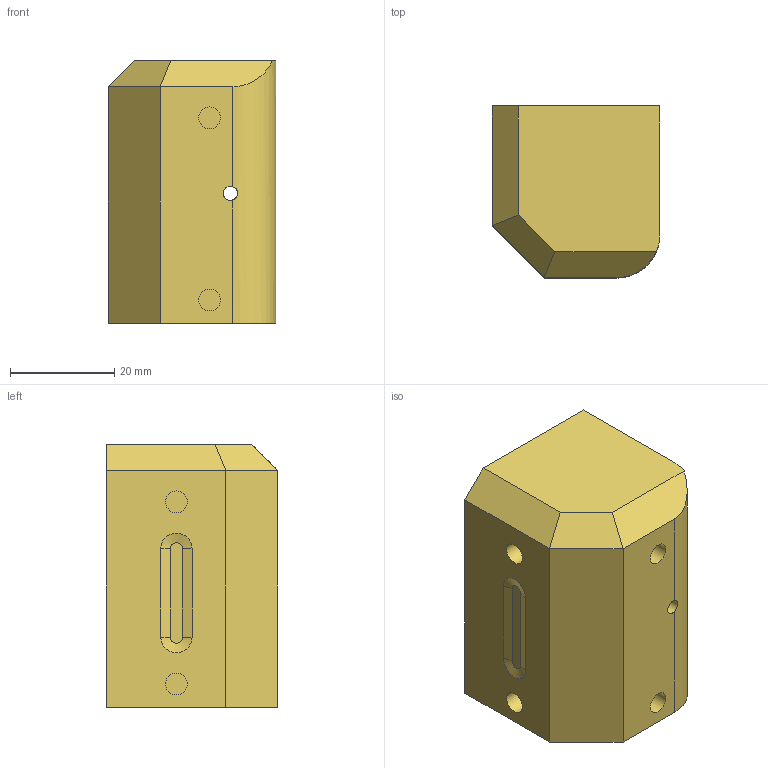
import cadquery as cq

width = 32.25
depth = 33.0
height = 50.5
corner_cut = 10.0
corner_radius = 8.25
top_bevel = 5.0

screw_diameter = 4.2
screw_depth = 10.0
screw_offset = 19.5
screw_pitch = 35.0
screw_mid_z = 22.0
screw_heights = (screw_mid_z - screw_pitch / 2, screw_mid_z + screw_pitch / 2)

pin_diameter = 2.75
pin_x = 23.5
pin_z = 25.0

slot_straight = 17.0
slot_mouth_width = 6.0
slot_floor_width = 2.3
slot_depth = 0.5


def make_block():
    """Upright block: one vertical edge cut at 45 degrees, the next one rounded, top edges bevelled."""
    outline = (
        cq.Workplane("XY")
        .moveTo(0, depth)
        .lineTo(0, corner_cut)
        .lineTo(corner_cut, 0)
        .lineTo(width, 0)
        .lineTo(width, depth)
        .close()
    )
    block = outline.extrude(height)
    angled_edge = cq.selectors.NearestToPointSelector((corner_cut / 2, corner_cut / 2, height))
    top_edges = block.faces(">Z").edges("<X or <Y").add(block.edges(angled_edge))
    block = top_edges.chamfer(top_bevel)
    return block.edges("|Z and >X and <Y").fillet(corner_radius)


def make_hole(start, direction, diameter, length):
    """Cylinder cutter running from the start point along the given direction."""
    cylinder = cq.Solid.makeCylinder(diameter / 2, length, cq.Vector(*start), cq.Vector(*direction))
    return cq.Workplane(cylinder)


def make_slot():
    """Slot cutter with rounded ends, tapering from the mouth down to the narrower floor."""
    upright = 90
    mouth = cq.Workplane("YZ", origin=(0, screw_offset, screw_mid_z))
    mouth = mouth.slot2D(slot_straight + slot_mouth_width, slot_mouth_width, upright)
    floor = mouth.workplane(offset=slot_depth)
    return floor.slot2D(slot_straight + slot_floor_width, slot_floor_width, upright).loft(ruled=True)


into_left = (1, 0, 0)
into_front = (0, 1, 0)

result = make_block().cut(make_slot())
for z in screw_heights:
    result = result.cut(make_hole((0, screw_offset, z), into_left, screw_diameter, screw_depth))
    result = result.cut(make_hole((screw_offset, 0, z), into_front, screw_diameter, screw_depth))
result = result.cut(make_hole((pin_x, 0, pin_z), into_front, pin_diameter, depth))